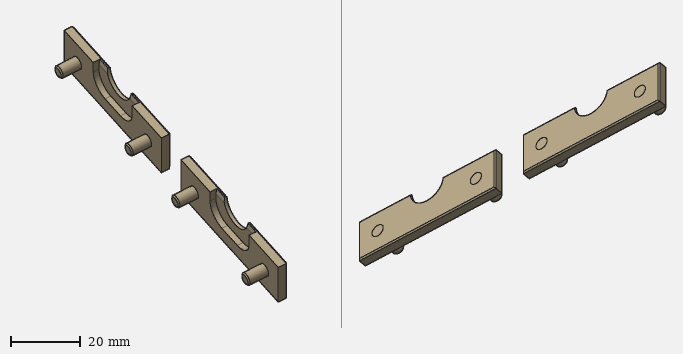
import cadquery as cq
import math

total_length = 110.0
plate_gap = 10.0
plate_length = (total_length - plate_gap) / 2
plate_height = 15.0
plate_thickness = 3.2
plate_pitch = plate_length + plate_gap

back_chamfer = 0.4

recess_width = 20.0
recess_height = 10.0
recess_corner_radius = 6.0
recess_floor_thickness = 1.2

relief_height = 2.0
relief_angle = 10.0
relief_depth = relief_height * math.tan(math.radians(relief_angle))

notch_diameter = 12.0

pin_diameter = 4.1
pin_length = 10.0
pin_chamfer = 0.4
pin_spacing = 36.0

top_z = plate_height / 2
sides = (-1, 1)


def front_plane(y, x=0.0):
    """XZ sketch plane at the given Y whose extrusions grow toward -Y."""
    return cq.Workplane("XZ", origin=(x, y, 0))


def make_blank():
    """Rectangular plate with its back edges chamfered."""
    return (
        front_plane(0)
        .rect(plate_length, plate_height)
        .extrude(plate_thickness)
        .faces(">Y")
        .chamfer(back_chamfer)
    )


def make_recess():
    """Cutter for the recess: straight sides, rounded lower corners."""
    return (
        front_plane(-recess_floor_thickness)
        .center(0, top_z)
        .rect(recess_width, 2 * recess_height)
        .extrude(plate_thickness - recess_floor_thickness)
        .edges("|Y")
        .fillet(recess_corner_radius)
    )


def make_relief():
    """Wedge cutter that thins the recess floor toward the top edge."""
    return (
        cq.Workplane("YZ")
        .moveTo(-recess_floor_thickness, top_z - relief_height)
        .lineTo(-recess_floor_thickness + relief_depth, top_z)
        .lineTo(-recess_floor_thickness, top_z)
        .close()
        .extrude(recess_width / 2, both=True)
    )


def make_notch():
    """Cylindrical cutter for the half-round notch."""
    return front_plane(0).center(0, top_z).circle(notch_diameter / 2).extrude(plate_thickness)


def make_plate(center_x):
    plate = make_blank().cut(make_recess()).cut(make_relief()).cut(make_notch())
    for side in sides:
        pin_hole = front_plane(0, side * pin_spacing / 2).circle(pin_diameter / 2).extrude(plate_thickness)
        plate = plate.cut(pin_hole)
    return plate.translate((center_x, 0, 0))


def make_pin(center_x):
    """Round pin with its front end chamfered."""
    return front_plane(0, center_x).circle(pin_diameter / 2).extrude(pin_length).faces("<Y").chamfer(pin_chamfer)


bodies = []
for plate_side in sides:
    plate_x = plate_side * plate_pitch / 2
    bodies.append(make_plate(plate_x).val())
    for pin_side in sides:
        bodies.append(make_pin(plate_x + pin_side * pin_spacing / 2).val())

result = cq.Compound.makeCompound(bodies)